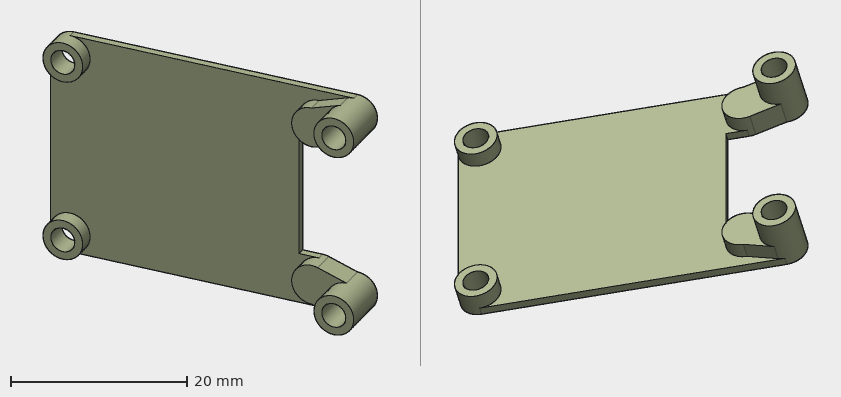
import cadquery as cq
import math

length = 40.55
height = 27.85
depth = 6.4

plate_thickness = 1.0
low_depth = 3.0
boss_diameter = 5.0
hole_diameter = 3.0
boss_radius = boss_diameter / 2
boss_x = length / 2 - boss_radius
boss_z = height / 2 - boss_radius

arm_reach = 4.4
arm_drop = 1.3
arm_x = boss_x - arm_reach
arm_z = boss_z - arm_drop
notch_x = arm_x - boss_radius
notch_z = arm_z - boss_radius

def cylinder(x, z, diameter, thickness):
    return cq.Workplane("XZ").center(x, z).circle(diameter / 2).extrude(thickness)

def make_plate():
    upper_edge = [(boss_x, boss_z + boss_radius), (boss_x, boss_z), (arm_x, arm_z),
                  (arm_x, notch_z), (notch_x, notch_z)]
    lower_edge = [(x, -z) for x, z in reversed(upper_edge)]
    outline = (
        cq.Workplane("XZ")
        .moveTo(-boss_x, height / 2)
        .polyline(upper_edge + lower_edge, includeCurrent=True)
        .lineTo(-boss_x, -height / 2)
        .lineTo(-length / 2, -boss_z)
        .lineTo(-length / 2, boss_z)
        .close()
    )
    return outline.extrude(plate_thickness)

def make_upper_arm():
    crown_rise = boss_radius - arm_drop
    slope = math.atan2(arm_reach, crown_rise) - math.acos(boss_radius / math.hypot(arm_reach, crown_rise))
    tangent_x = boss_radius * math.sin(slope)
    tangent_z = boss_radius * math.cos(slope)
    web = (
        cq.Workplane("XZ")
        .moveTo(arm_x, arm_z + boss_radius)
        .lineTo(boss_x - tangent_x, boss_z + tangent_z)
        .lineTo(boss_x, boss_z)
        .lineTo(boss_x, boss_z - boss_radius)
        .lineTo(arm_x + tangent_x, arm_z - tangent_z)
        .lineTo(arm_x, arm_z)
        .close()
    )
    return web.extrude(low_depth).union(cylinder(arm_x, arm_z, boss_diameter, low_depth))

upper_arm = make_upper_arm()
result = make_plate().union(upper_arm).union(upper_arm.mirror("XY"))

corners = [(x, z) for x in (-boss_x, boss_x) for z in (-boss_z, boss_z)]
for x, z in corners:
    boss_depth = depth if x > 0 else low_depth
    result = result.union(cylinder(x, z, boss_diameter, boss_depth))

for x, z in corners:
    result = result.cut(cylinder(x, z, hole_diameter, depth))